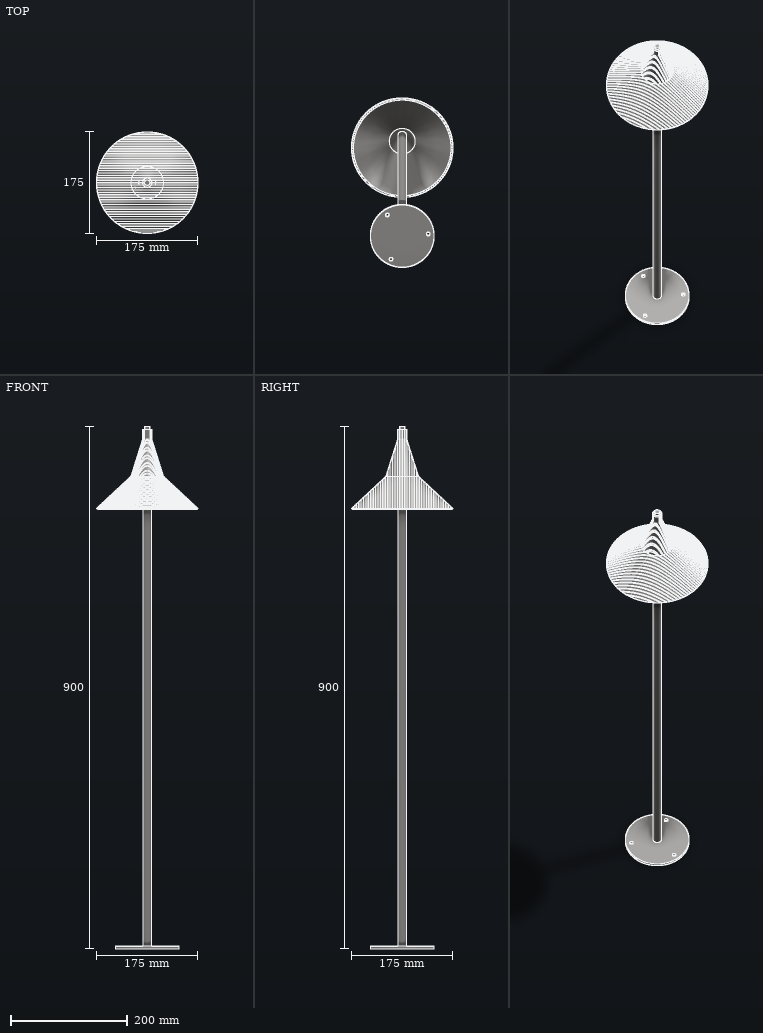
import cadquery as cq
import math

total_height = 899.99

base_radius = 55.0
base_thickness = 5.0
hole_count = 3
hole_diameter = 6.0
hole_circle_radius = 45.0
first_hole_angle = -30.0

pole_radius = 7.5

bottom_edge_z = 756.4
bottom_edge_radius = 168.0 / 2
rim_radius = 175.0 / 2
rim_rise = 2.0
rim_z = bottom_edge_z + rim_rise
waist_radius = 28.0
waist_z = 814.0
collar_radius = 7.9
collar_bottom_z = 878.0
tip_radius = 4.5
tip_length = 5.0
collar_top_z = total_height - tip_length

skirt_slope = (waist_z - rim_z) / (rim_radius - waist_radius)
neck_slope = (collar_bottom_z - waist_z) / (waist_radius - collar_radius)

wall = rim_radius - bottom_edge_radius + (rim_z - bottom_edge_z) / skirt_slope
ceiling_z = waist_z + (waist_radius - wall - pole_radius) * neck_slope

strip_count = 42
strip_width = 2 * rim_radius / strip_count
groove_width = 0.4
groove_depth = 1.5


def revolve_outline(points):
    """Solid of revolution about Z from (radius, height) points."""
    return cq.Workplane("XZ").polyline(points).close().revolve(360, (0, 0, 0), (0, 1, 0))


def make_base():
    plate = cq.Workplane("XY").circle(base_radius).extrude(base_thickness)
    holes = (
        cq.Workplane("XY")
        .polarArray(hole_circle_radius, first_hole_angle, 360, hole_count)
        .circle(hole_diameter / 2)
        .extrude(base_thickness)
    )
    return plate.cut(holes)


def make_pole():
    """Round pole from the top of the base to the ceiling inside the shade."""
    return (
        cq.Workplane("XY", origin=(0, 0, base_thickness))
        .circle(pole_radius)
        .extrude(ceiling_z - base_thickness)
    )


def make_shade_blank():
    return revolve_outline([
        (0, bottom_edge_z),
        (bottom_edge_radius, bottom_edge_z),
        (rim_radius, rim_z),
        (waist_radius, waist_z),
        (collar_radius, collar_bottom_z),
        (collar_radius, collar_top_z),
        (tip_radius, collar_top_z),
        (tip_radius, total_height),
        (0, total_height),
    ])


def make_shade_cavity():
    """Hollow under the shade; its flat ceiling rests on the top of the pole."""
    return revolve_outline([
        (0, bottom_edge_z),
        (bottom_edge_radius, bottom_edge_z),
        (waist_radius - wall, waist_z),
        (pole_radius, ceiling_z),
        (0, ceiling_z),
    ])


def make_groove_floor():
    """The shade shrunk by the groove depth, which the grooves leave standing."""
    return revolve_outline([
        (0, rim_z),
        (rim_radius - groove_depth, rim_z),
        (waist_radius - groove_depth, waist_z),
        (collar_radius - groove_depth, collar_bottom_z),
        (collar_radius - groove_depth, collar_top_z),
        (0, collar_top_z),
    ])


def make_groove_cutters():
    """Thin upright plates, one per groove, cleared of everything below the groove floor."""
    floor = make_groove_floor().val()
    height = collar_top_z - rim_z
    cutters = []
    for number in range(1, strip_count):
        y = number * strip_width - rim_radius
        half_chord = math.sqrt(rim_radius**2 - y**2)
        plate = (
            cq.Workplane("XY", origin=(0, y, rim_z))
            .box(2 * half_chord + strip_width, groove_width, height, centered=(True, True, False))
        )
        cutters.append(plate.val().cut(floor))
    return cutters


def make_shade():
    hollow_shade = make_shade_blank().cut(make_shade_cavity())
    return cq.Workplane(hollow_shade.val().cut(*make_groove_cutters()))


base = make_base()
pole = make_pole()
shade = make_shade()

result = cq.Compound.makeCompound([*base.vals(), *pole.vals(), *shade.val().Solids()])